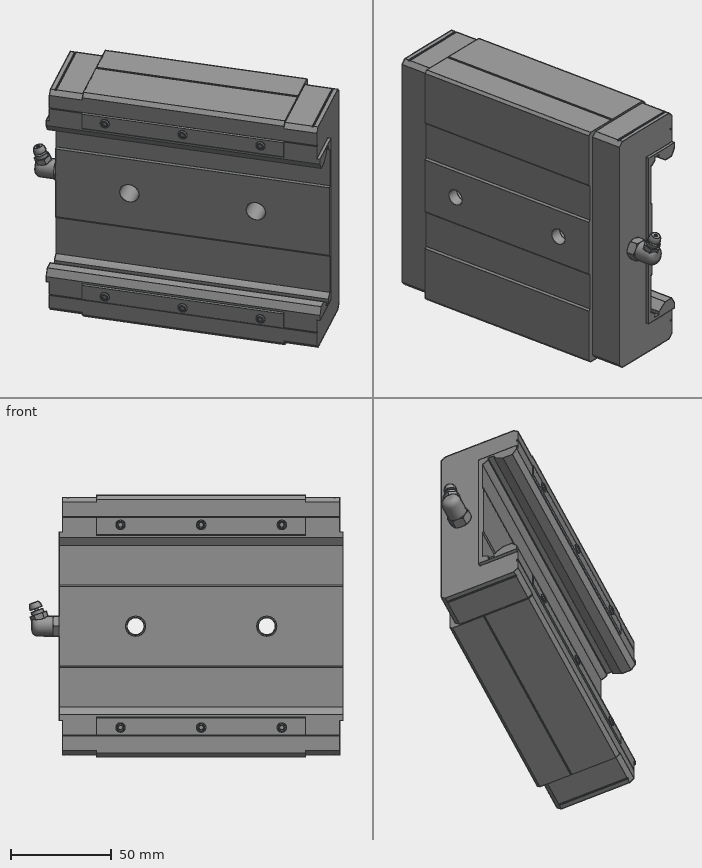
import cadquery as cq
import math


block_length = 103.7
cap_outer_length = 137.6
liner_length = 140.9

block_height = 130.0
block_front = 45.0
block_back_chamfer = 1.4
block_front_chamfer = 2.0

cap_height = 128.0
cap_back = 3.0
cap_back_chamfer = 2.3
cap_front_chamfer = 2.3
seal_thickness = 2.3
seam_width = 0.6
seam_depth = 0.3
front_seam_depth = 1.0

channel_half_height = 46.9
channel_depth = 24.1
liner_face = 26.3
pad_half_height = 20.5
pad_rise = 0.6
pad_slope = 1.0
lip_half_height = 40.2
lip_front_height = 43.9
lip_tip_front = 42.7
lip_tip_back = 37.5
slot_front = 32.5
slot_back = 29.5
slot_bottom_height = 45.3
slot_mouth_height = 43.6
bead_crest_depth = 27.9
bead_crest_height = 42.4
bead_end_height = 41.4

relief_inner = 15.1
relief_outer = 35.2
relief_depth = 1.0
side_groove_depth = 18.2

plate_front = 45.6
plate_inner = 44.7
plate_outer = 53.9
plate_chamfer = 1.0
screw_pitch = 40.0
screw_offset = 50.3
screw_radius = 2.3
screw_front = 46.5
screw_chamfer = 0.6
socket_size = 2.5
socket_depth = 0.6

hole_spacing = 65.1
hole_diameter = 8.4
throat_depth = 6.2
counterbore_diameter = 10.0

fitting_depth = 14.2
fitting_hex_flats = 10.0
fitting_hex_end = 73.6
fitting_hex_chamfer = 0.6
elbow_radius = 5.0
elbow_end = 84.1
elbow_fillet = 3.1
nipple_base_x = -79.9
nipple_base_z = 3.3
nipple_tilt = 20
collar_flats = 7.5
collar_height = 3.0
head_radius = 3.1
waist_start = 4.8
waist_end = 5.9
waist_radius = 1.0
shoulder_radius = 3.0
shoulder_height = 7.6
tip_radius = 2.2
tip_height = 9.0
bore_radius = 0.8
bore_depth = 0.8


def prism(outline, length):
    """Extrude a (depth, Z) outline along X, centred on X = 0."""
    points = [(-depth, z) for depth, z in outline]
    return cq.Workplane("YZ").polyline(points).close().extrude(length / 2, both=True)


def box(x_size, depth_range, z_range):
    """Axis-aligned box centred on X = 0."""
    near, far = depth_range
    low, high = z_range
    return prism([(near, low), (far, low), (far, high), (near, high)], x_size)


def mirrored(half):
    """Complete a half outline by reflecting it across Z = 0."""
    return half + [(depth, -z) for depth, z in reversed(half)]


def chamfered_section(height, back, back_chamfer, front_chamfer, length):
    """Rectangular bar with chamfered long edges."""
    top = height / 2
    half = [
        (back, top - back_chamfer),
        (back + back_chamfer, top),
        (block_front - front_chamfer, top),
        (block_front, top - front_chamfer),
    ]
    return prism(mirrored(half), length)


def make_body():
    """Block and end caps with the open channel cut out."""
    block = chamfered_section(
        block_height, 0, block_back_chamfer, block_front_chamfer, block_length
    )
    caps = chamfered_section(
        cap_height, cap_back, cap_back_chamfer, cap_front_chamfer, cap_outer_length
    )
    channel = box(
        cap_outer_length,
        (channel_depth, block_front),
        (-channel_half_height, channel_half_height),
    )
    return block.union(caps).cut(channel)


def make_liner():
    """Channel liner with a raised centre pad, a narrow slot and a lip on each side."""
    pad_depth = liner_face + pad_rise
    half = (
        cq.Workplane("YZ")
        .moveTo(-channel_depth, 0)
        .lineTo(-channel_depth, channel_half_height)
        .lineTo(-block_front, channel_half_height)
        .lineTo(-block_front, lip_front_height)
        .lineTo(-lip_tip_front, lip_half_height)
        .lineTo(-lip_tip_back, lip_half_height)
        .lineTo(-slot_front, slot_mouth_height)
        .lineTo(-slot_front, slot_bottom_height)
        .lineTo(-slot_back, slot_bottom_height)
        .lineTo(-slot_back, slot_mouth_height)
        .threePointArc((-bead_crest_depth, bead_crest_height), (-liner_face, bead_end_height))
        .lineTo(-liner_face, pad_half_height)
        .lineTo(-pad_depth, pad_half_height - pad_slope)
        .lineTo(-pad_depth, 0)
        .close()
        .extrude(liner_length / 2, both=True)
    )
    return half.union(half.mirror("XY"))


def relief_groove(side):
    """Shallow groove with sloped walls in the mounting back."""
    outline = [
        (0, side * (relief_inner - relief_depth / 2)),
        (relief_depth, side * (relief_inner + relief_depth / 2)),
        (relief_depth, side * (relief_outer - relief_depth / 2)),
        (0, side * (relief_outer + relief_depth / 2)),
    ]
    return prism(outline, block_length)


def side_groove(side):
    """Hairline groove along the outer side of the block."""
    top = block_height / 2
    return box(
        block_length,
        (side_groove_depth, side_groove_depth + seam_width),
        sorted((side * top, side * (top - seam_depth))),
    )


def seal_seam(side, end):
    """Hairline seam between the end seal and the cap, on the outer side."""
    top = cap_height / 2
    seam = box(seam_width, (0, block_front), sorted((side * top, side * (top - seam_depth))))
    return seam.translate((end * (cap_outer_length / 2 - seal_thickness - seam_width / 2), 0, 0))


def front_seam(side):
    """Hairline groove across the front, along the outer edge of the plate."""
    return box(
        cap_outer_length,
        (block_front - front_seam_depth, block_front),
        sorted((side * plate_outer, side * (plate_outer + seam_width))),
    )


def retaining_plate(side):
    """Thin strip on the front with a chamfered inner edge."""
    outline = [
        (block_front - plate_chamfer, side * plate_inner),
        (plate_front - plate_chamfer, side * plate_inner),
        (plate_front, side * (plate_inner + plate_chamfer)),
        (plate_front, side * plate_outer),
        (block_front - plate_chamfer, side * plate_outer),
    ]
    return prism(outline, block_length)


def socket_screw(x, z):
    """Button head screw with a hexagonal socket, facing -Y."""
    head_height = screw_front - block_front
    head = (
        cq.Workplane("XZ", origin=(x, -block_front, z))
        .circle(screw_radius)
        .extrude(head_height)
        .faces("<Y")
        .chamfer(screw_chamfer)
    )
    socket = (
        cq.Workplane("XZ", origin=(x, -screw_front, z))
        .polygon(6, socket_size)
        .extrude(-socket_depth)
    )
    return head.cut(socket)


def mounting_hole(x):
    """Through hole with a wider bore on the channel side."""
    start = cq.Workplane("XZ", origin=(x, 0, 0))
    throat = start.circle(hole_diameter / 2).extrude(throat_depth)
    bore_length = liner_face + pad_rise - throat_depth
    bore = start.workplane(offset=throat_depth).circle(counterbore_diameter / 2).extrude(bore_length)
    return throat.union(bore)


def corner_diameter(across_flats):
    """Corner-to-corner size of a hexagon."""
    return across_flats / math.cos(math.pi / 6)


def make_elbow():
    """Hexagonal base and round elbow body pointing along -X."""
    cap_end = cap_outer_length / 2
    hex_diameter = corner_diameter(fitting_hex_flats)
    start = cq.Workplane("YZ", origin=(-cap_end, -fitting_depth, 0))
    hex_length = fitting_hex_end - cap_end
    rounding = start.circle(hex_diameter / 2).extrude(-hex_length).edges().chamfer(fitting_hex_chamfer)
    base = start.polygon(6, hex_diameter).extrude(-hex_length).intersect(rounding)
    elbow = start.circle(elbow_radius).extrude(-(elbow_end - cap_end))
    return base.union(elbow.faces("<X").edges().fillet(elbow_fillet))


def make_nipple():
    """Grease nipple leaning towards -X: hex collar, waisted stem, tapered head and bore."""
    tilt = math.radians(nipple_tilt)
    plane = cq.Plane(
        origin=(nipple_base_x, -fitting_depth, nipple_base_z),
        xDir=(math.cos(tilt), 0, math.sin(tilt)),
        normal=(-math.sin(tilt), 0, math.cos(tilt)),
    )
    collar_diameter = corner_diameter(collar_flats)
    collar = cq.Workplane(plane).polygon(6, collar_diameter).extrude(collar_height)
    axis_plane = cq.Plane(origin=plane.origin, xDir=plane.xDir, normal=-plane.yDir)
    stem = (
        cq.Workplane(axis_plane)
        .lineTo(head_radius, 0)
        .lineTo(head_radius, waist_start)
        .lineTo(waist_radius, waist_start)
        .lineTo(waist_radius, waist_end)
        .lineTo(head_radius, waist_end)
        .threePointArc((shoulder_radius, shoulder_height), (tip_radius, tip_height))
        .lineTo(0, tip_height)
        .close()
        .revolve(360, (0, 0), (0, 1))
    )
    bore = cq.Workplane(plane).workplane(offset=tip_height).circle(bore_radius).extrude(-bore_depth)
    return collar.union(stem).cut(bore)


result = make_body().union(make_liner())
for side in (-1, 1):
    result = result.cut(relief_groove(side)).cut(side_groove(side)).cut(front_seam(side))
    for end in (-1, 1):
        result = result.cut(seal_seam(side, end))
    result = result.union(retaining_plate(side))
    for column in (-1, 0, 1):
        result = result.union(socket_screw(column * screw_pitch, side * screw_offset))
for x in (-hole_spacing / 2, hole_spacing / 2):
    result = result.cut(mounting_hole(x))
result = result.union(make_elbow()).union(make_nipple())